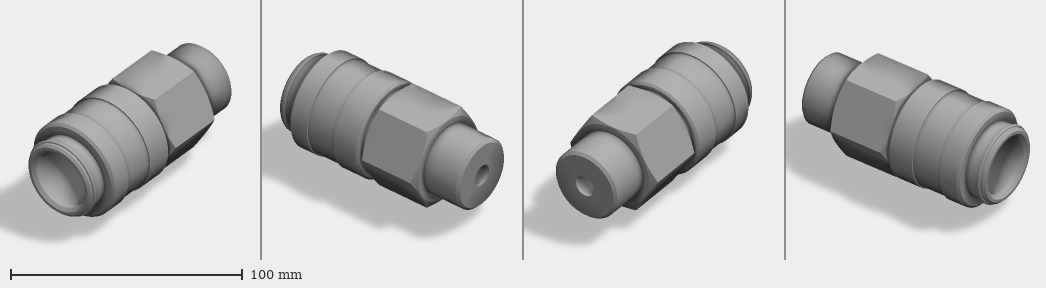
import cadquery as cq

length = 98.0
bead_start = 2.2
bead_width = 1.6
bead_rounding = 0.7
sleeve_front = 9.8
waist_front = 19.9
waist_back = 34.4
sleeve_back = 47.4
hex_front = 48.9
hex_back = 78.9

nose_diameter = 35.3
bead_diameter = 37.0
sleeve_diameter = 46.0
waist_diameter = 44.5
neck_diameter = 39.8
spigot_diameter = 33.3

hex_corner_diameter = 47.3
hex_face_diameter = 40.2
hex_chamfer_depth = 1.9

nose_chamfer = 1.1
sleeve_front_chamfer = 1.2
sleeve_back_chamfer = 1.0
spigot_chamfer = 1.3

socket_diameter = 27.4
socket_mouth_diameter = 30.4
socket_depth = sleeve_back
passage_diameter = 9.9


def cylinder(diameter, start, end):
    """Solid cylinder on the Y axis between two axial positions."""
    plane = cq.Workplane("XZ", origin=(0, start, 0))
    return plane.circle(diameter / 2).extrude(start - end)


def make_nose():
    nose = cylinder(nose_diameter, 0, sleeve_front).faces("<Y").chamfer(nose_chamfer)
    bead = cylinder(bead_diameter, bead_start, bead_start + bead_width)
    return nose.union(bead.edges("%CIRCLE").fillet(bead_rounding))


def make_sleeve():
    front_ring = cylinder(sleeve_diameter, sleeve_front, waist_front)
    front_ring = front_ring.faces("<Y").chamfer(sleeve_front_chamfer)
    waist = cylinder(waist_diameter, waist_front, waist_back)
    back_ring = cylinder(sleeve_diameter, waist_back, sleeve_back)
    back_ring = back_ring.faces(">Y").chamfer(sleeve_back_chamfer)
    return front_ring.union(waist).union(back_ring)


def make_hexagon():
    """Hexagonal prism with corners on X, its ends trimmed by cones."""
    prism = (
        cq.Workplane("XZ", origin=(0, hex_front, 0))
        .polygon(6, hex_corner_diameter)
        .extrude(hex_front - hex_back)
    )
    radial_chamfer = (hex_corner_diameter - hex_face_diameter) / 2
    envelope = (
        cylinder(hex_corner_diameter, hex_front, hex_back)
        .faces("<Y or >Y")
        .edges()
        .chamfer(hex_chamfer_depth, radial_chamfer)
    )
    return prism.intersect(envelope)


def make_socket():
    """Blind front bore with a 45 degree lead-in at its mouth."""
    lead_in = (socket_mouth_diameter - socket_diameter) / 2
    mouth = cq.Workplane(
        cq.Solid.makeCone(
            socket_mouth_diameter / 2,
            socket_diameter / 2,
            lead_in,
            cq.Vector(0, 0, 0),
            cq.Vector(0, 1, 0),
        )
    )
    return cylinder(socket_diameter, 0, socket_depth).union(mouth)


neck = cylinder(neck_diameter, sleeve_back, hex_front)
spigot = cylinder(spigot_diameter, hex_back, length).faces(">Y").chamfer(spigot_chamfer)

body = make_nose().union(make_sleeve()).union(neck).union(make_hexagon()).union(spigot)
result = body.cut(make_socket()).cut(cylinder(passage_diameter, 0, length))